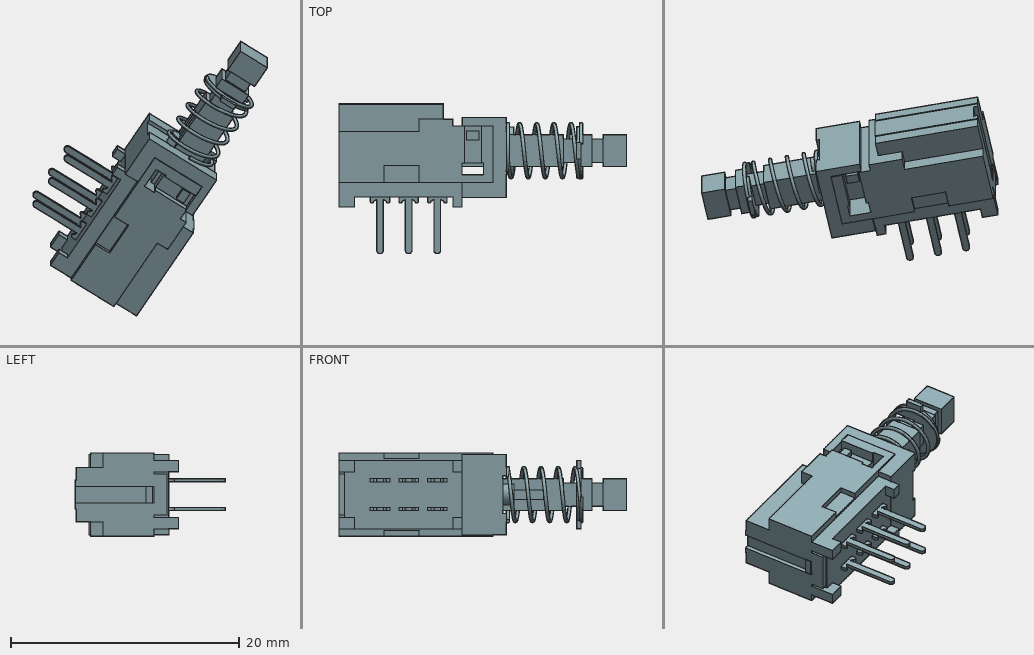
import cadquery as cq
import math


overlap = 0.13

body_half_z = 3.65
narrow_half_z = 2.4
narrow_length = 9.15
narrow_top_y = 4.05
wide_top_y = 1.7
raised_start_x = 7.0
raised_end_x = 9.98
raised_top_y = 2.77
body_bottom_y = -2.77
top_plate_half_z = 1.25
top_plate_y = 4.13

slot_half_z = 0.73
slot_depth = 0.38
slot_block_inset = 0.05
slot_block_top_y = -2.1
slot_block_bottom_y = -2.62

notch_start_x = 3.95
notch_end_x = 7.0
notch_top_y = -1.3
notch_floor_z = 3.15

base_half_z = 3.0
base_bottom_y = -4.05
foot_inner_z = 2.0
foot_bottom_y = -4.95
rear_foot_length = 1.39
front_foot_start_x = 9.98
rear_recess_depth = 0.5
rear_strip_half_z = 1.8
rear_strip_bottom_y = -3.93

cap_start_x = 10.79
cap_end_x = 14.67
cap_half_z = 3.53
cap_top_y = 2.92
cap_bottom_y = -4.1
cap_groove_half_z = 1.65
cap_groove_depth = 0.3

arm_end_x = 13.48
arm_top_y = 2.17
pit_start_x = 10.99
pit_end_x = 12.5
pit_bottom_y = -1.05
pit_floor_z = 2.67
bump_start_x = 11.2
bump_end_x = 12.27
bump_bottom_y = 0.95
bump_top_y = 1.71
bump_top_z = 3.18

window_end_x = 12.65
window_bottom_y = -2.1

shaft_width = 2.8
shaft_half = shaft_width / 2
neck_half = 1.03
shaft_end_x = 19.65
collar_start_x = 21.22
collar_end_x = 22.18
knob_start_x = 23.13
plunger_end_x = 25.2
shaft_groove_width = 0.83
shaft_groove_depth = 0.33
shaft_groove_end_x = 17.95
guide_length = 4.18
guide_width = 1.95
guide_end_x = 15.32

washer_radius = 2.4
washer_thickness = 0.4
washer_slot_half = 1.13
washer_tab_half_y = 0.73
washer_tab_z = 3.0

wire_radius = 0.15
spring_diameter = 4.96
spring_mean_radius = spring_diameter / 2 - wire_radius
four_turn_climb = 6.0
spring_pitch = four_turn_climb / 4
spring_seat_depth = 0.013
spring_start_x = cap_end_x + wire_radius - spring_seat_depth
spring_end_x = collar_start_x
coil_inset = 0.013
spring_start_angle = 114.0
start_turn_first = -90.0
start_turn_last = 140.0
end_turn_first = -175.0
end_turn_last = 75.0

pin_first_x = 3.6
pin_row_length = 5.01
pin_columns = 3
pin_pitch = pin_row_length / (pin_columns - 1)
pin_row_z = 1.25
pin_thickness = 0.3
pin_half_width = 0.3
pin_tip_y = -9.02
shoulder_half_width = 0.85
shoulder_bottom_y = -4.59
shoulder_root_y = -4.28
shoulder_tip_radius = 0.15


def block(x0, x1, y0, y1, z0, z1):
    """Box given by its limits along each axis."""
    return cq.Workplane("XY").box(x1 - x0, y1 - y0, z1 - z0, centered=False).translate((x0, y0, z0))


def centered_block(x0, x1, y0, y1, half_z):
    """Box symmetric about z = 0."""
    return block(x0, x1, y0, y1, -half_z, half_z)


def both_sides(solid):
    """The solid together with its mirror image across z = 0."""
    return solid.union(solid.mirror("XY"))


def make_body():
    wide_outline = [
        (0, body_bottom_y),
        (0, wide_top_y),
        (raised_start_x, wide_top_y),
        (raised_start_x, raised_top_y),
        (raised_end_x, raised_top_y),
        (raised_end_x, arm_top_y),
        (arm_end_x, arm_top_y),
        (arm_end_x, body_bottom_y),
    ]
    body = cq.Workplane("XY").polyline(wide_outline).close().extrude(body_half_z, both=True)
    body = body.union(centered_block(0, narrow_length, body_bottom_y, narrow_top_y, narrow_half_z))
    body = body.union(centered_block(0, narrow_length, 0, top_plate_y, top_plate_half_z))
    body = body.cut(centered_block(0, slot_depth, body_bottom_y, top_plate_y, slot_half_z))
    slot_block = centered_block(slot_block_inset, slot_depth, slot_block_bottom_y, slot_block_top_y, slot_half_z)
    body = body.union(slot_block)
    notch = block(notch_start_x, notch_end_x, body_bottom_y, notch_top_y, notch_floor_z, body_half_z)
    return body.cut(both_sides(notch))


def make_base():
    base = centered_block(0, cap_start_x, base_bottom_y, body_bottom_y, base_half_z)
    base = base.cut(centered_block(0, rear_recess_depth, base_bottom_y, body_bottom_y, foot_inner_z))
    strip = centered_block(0, rear_recess_depth, rear_strip_bottom_y, body_bottom_y, rear_strip_half_z)
    base = base.union(strip)
    for x0, x1 in ((0, rear_foot_length), (front_foot_start_x, cap_start_x)):
        foot = block(x0, x1, foot_bottom_y, body_bottom_y, foot_inner_z, base_half_z)
        base = base.union(both_sides(foot))
    return base


def make_cap():
    cap = centered_block(cap_start_x, cap_end_x, cap_bottom_y, cap_top_y, cap_half_z)
    groove_start_x = cap_end_x - cap_groove_depth
    return cap.cut(centered_block(groove_start_x, cap_end_x, cap_bottom_y, cap_top_y, cap_groove_half_z))


def make_arm_openings():
    pit = block(pit_start_x, pit_end_x, pit_bottom_y, arm_top_y, pit_floor_z, body_half_z)
    bump = block(bump_start_x, bump_end_x, bump_bottom_y, bump_top_y, pit_floor_z, bump_top_z)
    window = centered_block(cap_start_x, window_end_x, window_bottom_y, pit_bottom_y, body_half_z)
    return both_sides(pit.cut(bump)).union(window)


def make_plunger():
    plunger = centered_block(raised_end_x, shaft_end_x, -shaft_half, shaft_half, shaft_half)
    plunger = plunger.union(centered_block(shaft_end_x, plunger_end_x, -neck_half, neck_half, neck_half))
    for x0, x1 in ((collar_start_x, collar_end_x), (knob_start_x, plunger_end_x)):
        plunger = plunger.union(centered_block(x0, x1, -shaft_half, shaft_half, shaft_half))
    guide_start_x = cap_end_x - cap_groove_depth - overlap
    guide = (
        cq.Workplane("YZ", origin=(guide_start_x, 0, 0))
        .slot2D(guide_length, guide_width)
        .extrude(guide_end_x - guide_start_x)
    )
    groove_floor_y = shaft_groove_depth - shaft_half
    groove = centered_block(guide_end_x, shaft_groove_end_x, -shaft_half, groove_floor_y, shaft_groove_width / 2)
    return plunger.cut(groove).union(guide)


def make_washer():
    start_x = collar_start_x - washer_thickness
    washer = cq.Workplane("YZ", origin=(start_x, 0, 0)).circle(washer_radius).extrude(washer_thickness)
    tabs = centered_block(start_x, collar_start_x, -washer_tab_half_y, washer_tab_half_y, washer_tab_z)
    slot = centered_block(start_x, collar_start_x, 0, washer_radius, washer_slot_half)
    return washer.union(tabs).cut(slot)


def along_plunger(solid, start_x):
    """Turn a solid built about Z so that its axis lies along X, starting at start_x."""
    return solid.rotate((0, 0, 0), (1, 1, 1), 120).translate((start_x, 0, 0))


def make_end_turn(x, first_angle, last_angle):
    """Flat part turn of the spring between two angles."""
    wire = cq.Workplane("XZ").center(spring_mean_radius, 0).circle(wire_radius)
    turn = wire.revolve(last_angle - first_angle, (-spring_mean_radius, 0), (-spring_mean_radius, 1))
    return along_plunger(turn.rotate((0, 0, 0), (0, 0, 1), first_angle), x)


def make_coil(start, length):
    """Open turns of the spring from a given climb above the first end turn."""
    coil_radius = spring_mean_radius - coil_inset
    helix = cq.Wire.makeHelix(spring_pitch, length, coil_radius)
    climb = spring_pitch / (2 * math.pi * coil_radius)
    wire_plane = cq.Plane(origin=(coil_radius, 0, 0), xDir=(1, 0, 0), normal=(0, 1, climb))
    coil = cq.Workplane(wire_plane).circle(wire_radius).sweep(cq.Workplane(helix), isFrenet=True)
    coil = coil.rotate((0, 0, 0), (0, 0, 1), spring_start_angle)
    return along_plunger(coil, spring_start_x + start)


def make_spring_coils():
    """Whole turns one after another, then the remaining part of a turn."""
    length = spring_end_x - spring_start_x
    whole_turns = math.floor(length / spring_pitch)
    coils = make_coil(0, spring_pitch)
    for turn in range(1, whole_turns):
        coils = coils.union(make_coil(turn * spring_pitch, spring_pitch), clean=False)
    covered = whole_turns * spring_pitch
    return coils.union(make_coil(covered, length - covered), clean=False)


def make_pin(x, z):
    top_y = base_bottom_y + overlap
    tip_arc_y = pin_tip_y + pin_half_width
    leg_inner_x = shoulder_half_width - 2 * shoulder_tip_radius
    leg_middle_x = shoulder_half_width - shoulder_tip_radius
    leg_arc_y = shoulder_bottom_y + shoulder_tip_radius
    outline = (
        cq.Workplane("XY", origin=(x, 0, z))
        .moveTo(-shoulder_half_width, top_y)
        .lineTo(-shoulder_half_width, leg_arc_y)
        .threePointArc((-leg_middle_x, shoulder_bottom_y), (-leg_inner_x, leg_arc_y))
        .lineTo(-pin_half_width, shoulder_root_y)
        .lineTo(-pin_half_width, tip_arc_y)
        .threePointArc((0, pin_tip_y), (pin_half_width, tip_arc_y))
        .lineTo(pin_half_width, shoulder_root_y)
        .lineTo(leg_inner_x, leg_arc_y)
        .threePointArc((leg_middle_x, shoulder_bottom_y), (shoulder_half_width, leg_arc_y))
        .lineTo(shoulder_half_width, top_y)
        .close()
    )
    return outline.extrude(pin_thickness / 2, both=True)


result = make_body().union(make_base()).union(make_cap()).cut(make_arm_openings())
result = result.union(make_plunger()).union(make_washer())
result = result.union(make_end_turn(spring_start_x, start_turn_first, start_turn_last))
result = result.union(make_end_turn(spring_end_x, end_turn_first, end_turn_last))
result = result.union(make_spring_coils())
for column in range(pin_columns):
    for row_z in (-pin_row_z, pin_row_z):
        result = result.union(make_pin(pin_first_x + column * pin_pitch, row_z))